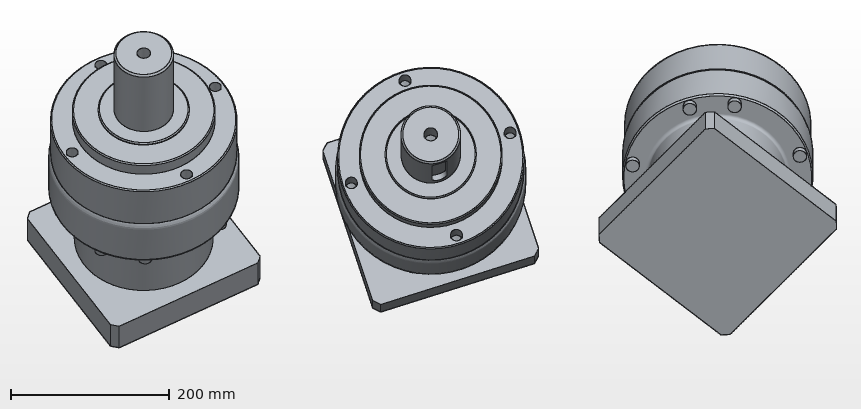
import cadquery as cq
import math

plate_top = 42.2
bolt_bottom = 130.0
ring_bottom = 138.0
ring_top = 207.0
housing_top = 272.0
pilot_top = 290.5
cap_top = 293.5
total_height = 402.0

neck_diameter = 175.3
ring_diameter = 240.0
housing_diameter = 235.0
pilot_diameter = 180.0
cap_diameter = 115.0
shaft_diameter = 75.0

edge_chamfer = 1.5
ring_chamfer_height = 3.2
ring_chamfer_inset = 1.5
shaft_chamfer = 2.5
neck_fillet = 4.5

shoulder_step = 3.0
shoulder_inset = 3.2
middle_inset = 1.5
upper_inset = 0.5
root_gap = 1.2

plate_side = 220.0
plate_corner = 8.0

mount_hole_diameter = 15.0
mount_circle_diameter = 210.2
mount_hole_depth = 32.0
mount_hole_count = 4

center_hole_diameter = 17.0
center_hole_depth = 40.0
drill_tip_angle = 118.0

bolt_diameter = 17.0
bolt_circle_diameter = 218.5
bolt_angles = [quarter * 90 + offset for quarter in range(4) for offset in (30, 60)]

key_width = 20.0
key_length = 91.0
key_depth = 7.5
key_end_gap = 7.2


def make_plate():
    plate = cq.Workplane("XY").rect(plate_side, plate_side).extrude(plate_top)
    return plate.edges("|Z").chamfer(plate_corner)


def make_round_body():
    """Neck, ring, housing, pilot, cap and shaft turned as one profile about Z."""
    neck_r = neck_diameter / 2
    ring_r = ring_diameter / 2
    housing_r = housing_diameter / 2
    pilot_r = pilot_diameter / 2
    cap_r = cap_diameter / 2
    shaft_r = shaft_diameter / 2
    fillet_reach = neck_fillet * (1 - math.sqrt(0.5))

    profile = (
        cq.Workplane("XZ")
        .lineTo(neck_r, 0)
        .lineTo(neck_r, ring_bottom - neck_fillet)
        .threePointArc(
            (neck_r + fillet_reach, ring_bottom - fillet_reach),
            (neck_r + neck_fillet, ring_bottom),
        )
        .lineTo(ring_r - ring_chamfer_inset, ring_bottom)
        .lineTo(ring_r, ring_bottom + ring_chamfer_height)
        .lineTo(ring_r, ring_top - 3 * shoulder_step)
        .lineTo(ring_r - upper_inset, ring_top - 2 * shoulder_step)
        .lineTo(ring_r - middle_inset, ring_top - shoulder_step)
        .lineTo(ring_r - shoulder_inset, ring_top)
        .lineTo(housing_r, ring_top + root_gap)
        .lineTo(housing_r, housing_top - edge_chamfer)
        .lineTo(housing_r - edge_chamfer, housing_top)
        .lineTo(pilot_r, housing_top)
        .lineTo(pilot_r, pilot_top - edge_chamfer)
        .lineTo(pilot_r - edge_chamfer, pilot_top)
        .lineTo(cap_r, pilot_top)
        .lineTo(cap_r, cap_top - edge_chamfer)
        .lineTo(cap_r - edge_chamfer, cap_top)
        .lineTo(shaft_r, cap_top)
        .lineTo(shaft_r, total_height - shaft_chamfer)
        .lineTo(shaft_r - shaft_chamfer, total_height)
        .lineTo(0, total_height)
        .close()
    )
    return profile.revolve(360, (0, 0, 0), (0, 1, 0))


def make_drilled_hole(diameter, depth):
    """Blind hole with a conical bottom, opening upward at the origin."""
    radius = diameter / 2
    tip_depth = radius / math.tan(math.radians(drill_tip_angle / 2))
    profile = (
        cq.Workplane("XZ")
        .lineTo(radius, 0)
        .lineTo(radius, -depth)
        .lineTo(0, -depth - tip_depth)
        .close()
    )
    return profile.revolve(360, (0, 0, 0), (0, 1, 0))


def make_bolt_heads():
    head_height = ring_bottom + ring_chamfer_height - bolt_bottom
    bolt_heads = cq.Workplane("XY")
    for angle in bolt_angles:
        x = bolt_circle_diameter / 2 * math.cos(math.radians(angle))
        y = bolt_circle_diameter / 2 * math.sin(math.radians(angle))
        head = cq.Workplane("XY").circle(bolt_diameter / 2).extrude(head_height)
        bolt_heads = bolt_heads.add(head.translate((x, y, bolt_bottom)))
    return bolt_heads.combine()


def make_keyway():
    """Round-ended slot cutter reaching from the keyway floor out past the shaft."""
    floor_y = shaft_diameter / 2 - key_depth
    center_z = total_height - key_end_gap - key_length / 2
    return (
        cq.Workplane("XZ", origin=(0, floor_y, center_z))
        .slot2D(key_length, key_width, 90)
        .extrude(-2 * key_depth)
    )


result = make_plate().union(make_round_body()).union(make_bolt_heads())

mount_hole = make_drilled_hole(mount_hole_diameter, mount_hole_depth)
mount_hole = mount_hole.translate((mount_circle_diameter / 2, 0, housing_top))
for index in range(mount_hole_count):
    angle = index * 360 / mount_hole_count
    result = result.cut(mount_hole.rotate((0, 0, 0), (0, 0, 1), angle))

center_hole = make_drilled_hole(center_hole_diameter, center_hole_depth)
result = result.cut(center_hole.translate((0, 0, total_height)))
result = result.cut(make_keyway())